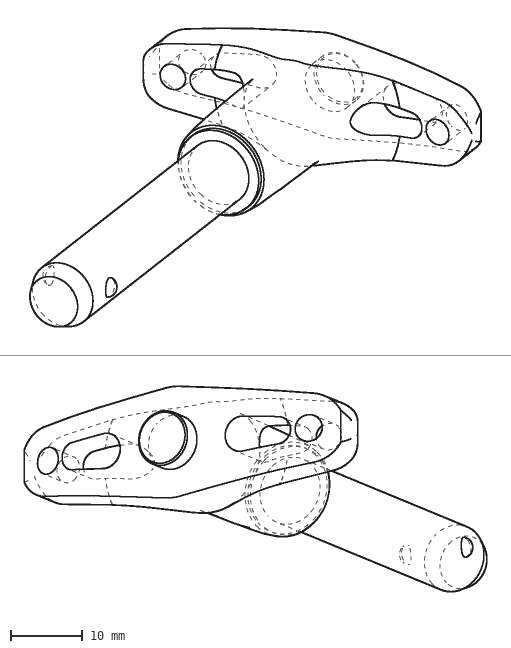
import cadquery as cq
import math


shaft_radius = 9.525 / 2
shaft_length = 50.0
nose_length = 2.7
nose_end_radius = 3.75

ball_radius = 1.45
ball_span = 11.3
ball_from_end = 7.9

collar_radius = 6.3
collar_length = 0.75
grip_end_radius = 6.75
shoulder_y = 3.2
shoulder_radius = 7.0
grip_mid_radius = 7.22
grip_radius = 7.3
flare_start_y = 20.24
flare_radius = 6.7

button_radius = 3.88
button_top_y = 36.74
button_chamfer = 0.25

handle_length = 51.45
hub_radius = 15.88 / 2
arm_end_radius = 5.0
arm_end_x = handle_length / 2 - arm_end_radius

handle_top_y = 33.75
flat_top_half_width = 7.0
tip_top_y = 30.9
tip_widest_y = 27.45
end_face_slope = 0.155
underside_slope = 0.1
tip_fillet = 1.4

hole_radius = 1.9
slot_outer_radius = 1.95
slot_outer_x = 16.2
slot_inner_radius = 2.5
slot_inner_x = 10.85

flare_centre_x = grip_radius + flare_radius
underside_angle = math.atan(underside_slope)
flare_end_x = flare_centre_x + flare_radius * math.sin(underside_angle)
flare_end_y = flare_start_y + flare_radius * math.cos(underside_angle)


def tapered_slot(x_a, radius_a, x_b, radius_b):
    """XZ outline around two circles on the X axis, joined by their common tangents (x_a < x_b)."""
    lean = math.asin((radius_a - radius_b) / (x_b - x_a))
    a = (x_a + radius_a * math.sin(lean), radius_a * math.cos(lean))
    b = (x_b + radius_b * math.sin(lean), radius_b * math.cos(lean))
    return (
        cq.Workplane("XZ")
        .moveTo(a[0], -a[1])
        .lineTo(b[0], -b[1])
        .threePointArc((x_b + radius_b, 0), b)
        .lineTo(*a)
        .threePointArc((x_a - radius_a, 0), (a[0], -a[1]))
        .close()
    )


def mirror_both(half):
    """Join a +X half with its mirror image in the YZ plane."""
    return half.union(half.mirror("YZ"))


def along_handle(outline):
    """Extrude an XZ outline towards +Y, from Y = 0 past the handle top."""
    return outline.extrude(-button_top_y)


def underside_y(x):
    return flare_end_y - underside_slope * (x - flare_end_x)


def end_face_x(y):
    return handle_length / 2 + end_face_slope * (tip_widest_y - y)


def make_arms():
    """Both arms as an XY profile, thick enough in Z to be trimmed by the handle outline."""
    tip_bottom_x = end_face_x(underside_y(0)) / (1 - end_face_slope * underside_slope)
    arm = (
        cq.Workplane("XY")
        .moveTo(0, underside_y(0))
        .lineTo(0, handle_top_y)
        .lineTo(flat_top_half_width, handle_top_y)
        .tangentArcPoint((end_face_x(tip_top_y), tip_top_y), relative=False)
        .lineTo(tip_bottom_x, underside_y(tip_bottom_x))
        .close()
        .extrude(hub_radius, both=True)
        .edges("|Z and >X")
        .fillet(tip_fillet)
    )
    return mirror_both(arm)


def make_flare():
    """Trumpet-shaped blend from the grip into the underside of the arms."""
    middle_angle = (math.pi / 2 - underside_angle) / 2
    arc_middle = (
        flare_centre_x - flare_radius * math.sin(middle_angle),
        flare_start_y + flare_radius * math.cos(middle_angle),
    )
    return (
        cq.Workplane("XY")
        .moveTo(0, flare_start_y)
        .lineTo(grip_radius, flare_start_y)
        .threePointArc(arc_middle, (flare_end_x, flare_end_y))
        .lineTo(flare_end_x, underside_y(0))
        .lineTo(0, underside_y(0))
        .close()
        .revolve(360, (0, 0, 0), (0, 1, 0))
    )


def make_handle():
    half_outline = tapered_slot(0, hub_radius, arm_end_x, arm_end_radius)
    outline = mirror_both(along_handle(half_outline))
    handle = make_arms().union(make_flare()).intersect(outline)

    slot = tapered_slot(slot_inner_x, slot_inner_radius, slot_outer_x, slot_outer_radius)
    hole = cq.Workplane("XZ").center(arm_end_x, 0).circle(hole_radius)
    for opening in (slot, hole):
        handle = handle.cut(mirror_both(along_handle(opening)))
    return handle


def make_pin_body():
    """Shaft, collar and grip as one turned body."""
    barrel_middle = (grip_mid_radius, (shoulder_y + flare_start_y) / 2)
    return (
        cq.Workplane("XY")
        .moveTo(0, -shaft_length)
        .lineTo(nose_end_radius, -shaft_length)
        .lineTo(shaft_radius, nose_length - shaft_length)
        .lineTo(shaft_radius, 0)
        .lineTo(collar_radius, 0)
        .lineTo(collar_radius, collar_length)
        .lineTo(grip_end_radius, collar_length)
        .lineTo(shoulder_radius, shoulder_y)
        .threePointArc(barrel_middle, (grip_radius, flare_start_y))
        .lineTo(0, flare_start_y)
        .close()
        .revolve(360, (0, 0, 0), (0, 1, 0))
    )


def make_button():
    return (
        cq.Workplane("XZ", origin=(0, button_top_y, 0))
        .circle(button_radius)
        .extrude(button_top_y - flare_start_y)
        .faces(">Y")
        .chamfer(button_chamfer)
    )


def make_balls():
    ball = cq.Workplane("XY").sphere(ball_radius)
    ball_x = ball_span / 2 - ball_radius
    return mirror_both(ball.translate((ball_x, ball_from_end - shaft_length, 0)))


result = make_pin_body().union(make_handle()).union(make_button()).union(make_balls())